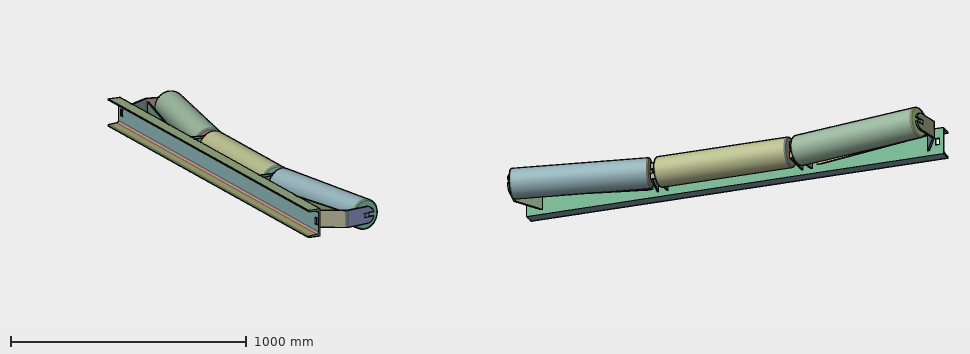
import cadquery as cq
import math


OVERALL_LENGTH = 1914.0
TROUGH_ANGLE = 10.0
CENTRE_AXIS_Y = 117.0

BEAM_LENGTH = 1898.0
BEAM_HEIGHT = 120.0
BEAM_DEPTH = 55.0
WEB_THICKNESS = 7.0
FLANGE_THICKNESS = 9.0
FLANGE_SLOPE = 0.08
ROOT_RADIUS = 9.0
TOE_RADIUS = 4.0
BEAM_SLOT_LENGTH = 17.0
BEAM_SLOT_HEIGHT = 29.0
BEAM_SLOT_X = 922.0

ROLLER_DIAMETER = 132.0
ROLLER_LENGTH = 600.0
ROLLER_EDGE_RADIUS = 5.0
SPINDLE_WIDTH = 18.0
SPINDLE_DEPTH = 23.0
SUPPORT_SPAN = 609.0

PLATE_WIDTH = 75.0
OUTER_PLATE = 8.0
INNER_PLATE = 6.0
STRUT_PLATE = 6.0
STRUT_WIDTH = 45.0

BEND_RADIUS = 15.0
BEND_Y = 126.0
LEG_ANGLE = 60.0
BEND_TO_AXIS = 100.0

BRIDGE_TOP_Y = 142.0

STRUT_TOP_Y = 135.0
STRUT_FOOT_X = -373.0

TROUGH = math.radians(TROUGH_ANGLE)
LEG = math.radians(LEG_ANGLE)
ALONG = cq.Vector(math.cos(TROUGH), -math.sin(TROUGH))
ACROSS = cq.Vector(math.sin(TROUGH), math.cos(TROUGH))
LEG_DOWN = cq.Vector(math.cos(LEG), -math.sin(LEG))
LEG_INWARD = cq.Vector(math.sin(LEG), math.cos(LEG))

BEND_CENTRE = cq.Vector(BEND_RADIUS - OVERALL_LENGTH / 2, BEND_Y)
ARM_FOOT = BEND_CENTRE - ALONG * BEND_RADIUS
ARM_AXIS = ARM_FOOT + ACROSS * BEND_TO_AXIS
SIDE_CENTRE = ARM_AXIS + ALONG * (OUTER_PLATE + SUPPORT_SPAN / 2)
INNER_MOUNT = SIDE_CENTRE + ALONG * (SUPPORT_SPAN / 2)


def point_at_height(start, direction, y):
    """Point where the line through start along direction reaches the height y."""
    return start + direction * ((y - start.y) / direction.y)


def plate_from_outline(points, width):
    """Prism on a closed XY outline, centred on Z = 0."""
    outline = [(p.x, p.y) for p in points]
    return cq.Workplane("XY").polyline(outline).close().extrude(width / 2, both=True)


def mirrored(body):
    """Copy of a body on the opposite end of the idler."""
    return body.mirror("YZ")


def make_beam():
    """Channel with tapered flanges and a slot through the web near each end."""
    half = BEAM_HEIGHT / 2
    mid_depth = BEAM_DEPTH / 2
    toe = half - FLANGE_THICKNESS + FLANGE_SLOPE * mid_depth
    root = half - FLANGE_THICKNESS - FLANGE_SLOPE * (mid_depth - WEB_THICKNESS)
    section = (
        cq.Workplane("YZ", origin=(-BEAM_LENGTH / 2, 0, 0))
        .polyline([
            (0, half), (-BEAM_DEPTH, half), (-BEAM_DEPTH, toe), (-WEB_THICKNESS, root),
            (-WEB_THICKNESS, -root), (-BEAM_DEPTH, -toe), (-BEAM_DEPTH, -half), (0, -half),
        ])
        .close()
    )
    beam = section.extrude(BEAM_LENGTH)
    for y, z, radius in ((-WEB_THICKNESS, root, ROOT_RADIUS), (-BEAM_DEPTH, toe, TOE_RADIUS)):
        for side in (-1, 1):
            beam = beam.edges(cq.NearestToPointSelector((0, y, side * z))).fillet(radius)
    slots = (
        cq.Workplane("XZ", origin=(0, 0, 0))
        .pushPoints([(-BEAM_SLOT_X, 0), (BEAM_SLOT_X, 0)])
        .rect(BEAM_SLOT_LENGTH, BEAM_SLOT_HEIGHT)
        .extrude(WEB_THICKNESS)
    )
    return beam.cut(slots)


def make_roller(centre, axis, spindle_start, spindle_end):
    """Roller centred on a point, its spindle running between two stations along the axis."""
    upright = cq.Vector(0, 0, 1)
    shell = (
        cq.Workplane(cq.Plane(origin=centre - axis * (ROLLER_LENGTH / 2), xDir=upright, normal=axis))
        .circle(ROLLER_DIAMETER / 2)
        .extrude(ROLLER_LENGTH)
        .edges("%CIRCLE")
        .fillet(ROLLER_EDGE_RADIUS)
    )
    spindle = (
        cq.Workplane(cq.Plane(origin=centre + axis * spindle_start, xDir=upright, normal=axis))
        .rect(SPINDLE_WIDTH, SPINDLE_DEPTH)
        .extrude(spindle_end - spindle_start)
    )
    return shell.union(spindle)


def make_centre_roller():
    reach = SUPPORT_SPAN / 2 + INNER_PLATE
    return make_roller(cq.Vector(0, CENTRE_AXIS_Y), cq.Vector(1, 0), -reach, reach)


def make_side_roller():
    half_span = SUPPORT_SPAN / 2
    return make_roller(SIDE_CENTRE, ALONG, -half_span - OUTER_PLATE, half_span + INNER_PLATE)


def make_spindle_slot(face_point, across, normal, thickness, height):
    """Slot through a plate, from the underside of the spindle up to height above its axis."""
    plane = cq.Plane(origin=face_point, xDir=across, normal=normal)
    length = height + SPINDLE_DEPTH / 2
    return (
        cq.Workplane(plane)
        .center((height - SPINDLE_DEPTH / 2) / 2, 0)
        .rect(length, SPINDLE_WIDTH)
        .extrude(thickness)
    )


def make_outer_bracket():
    """Arm with a round slotted end, bent onto a leg that slopes back to the beam."""
    half = PLATE_WIDTH / 2
    arm = (
        cq.Workplane(cq.Plane(origin=ARM_AXIS, xDir=ACROSS, normal=ALONG))
        .moveTo(-BEND_TO_AXIS, -half)
        .lineTo(0, -half)
        .threePointArc((half, 0), (0, half))
        .lineTo(-BEND_TO_AXIS, half)
        .close()
        .extrude(OUTER_PLATE)
    )
    inner_radius = BEND_RADIUS - OUTER_PLATE
    outer_tangent = BEND_CENTRE - LEG_INWARD * BEND_RADIUS
    inner_tangent = BEND_CENTRE - LEG_INWARD * inner_radius
    arm_inner = BEND_CENTRE - ALONG * inner_radius
    bisector = (ALONG + LEG_INWARD).normalized()
    outer_mid = BEND_CENTRE - bisector * BEND_RADIUS
    inner_mid = BEND_CENTRE - bisector * inner_radius
    outer_foot = point_at_height(outer_tangent, LEG_DOWN, 0)
    inner_foot = point_at_height(inner_tangent, LEG_DOWN, 0)
    leg = (
        cq.Workplane("XY")
        .moveTo(ARM_FOOT.x, ARM_FOOT.y)
        .threePointArc(outer_mid.toTuple()[:2], outer_tangent.toTuple()[:2])
        .lineTo(outer_foot.x, outer_foot.y)
        .lineTo(inner_foot.x, inner_foot.y)
        .lineTo(inner_tangent.x, inner_tangent.y)
        .threePointArc(inner_mid.toTuple()[:2], arm_inner.toTuple()[:2])
        .close()
        .extrude(half, both=True)
    )
    slot = make_spindle_slot(ARM_AXIS, ACROSS, ALONG, OUTER_PLATE, PLATE_WIDTH)
    return arm.union(leg).cut(slot)


def make_inner_bracket():
    """Folded plate whose two legs, joined by a bridge, hold a side and a centre spindle."""
    side_face = INNER_MOUNT
    side_back = INNER_MOUNT + ALONG * INNER_PLATE
    centre_face_x = -SUPPORT_SPAN / 2
    centre_back_x = centre_face_x - INNER_PLATE
    bridge_under = BRIDGE_TOP_Y - INNER_PLATE
    bracket = plate_from_outline([
        point_at_height(side_face, ACROSS, 0),
        point_at_height(side_face, ACROSS, BRIDGE_TOP_Y),
        cq.Vector(centre_face_x, BRIDGE_TOP_Y),
        cq.Vector(centre_face_x, 0),
        cq.Vector(centre_back_x, 0),
        cq.Vector(centre_back_x, bridge_under),
        point_at_height(side_back, ACROSS, bridge_under),
        point_at_height(side_back, ACROSS, 0),
    ], PLATE_WIDTH)
    side_slot = make_spindle_slot(side_face, ACROSS, ALONG, INNER_PLATE, PLATE_WIDTH)
    centre_slot = make_spindle_slot(
        cq.Vector(centre_back_x, CENTRE_AXIS_Y), cq.Vector(0, 1), cq.Vector(1, 0), INNER_PLATE, PLATE_WIDTH
    )
    bridge_slot = plate_from_outline([
        point_at_height(side_face, ACROSS, bridge_under),
        point_at_height(side_face, ACROSS, BRIDGE_TOP_Y),
        cq.Vector(centre_face_x, BRIDGE_TOP_Y),
        cq.Vector(centre_face_x, bridge_under),
    ], SPINDLE_WIDTH)
    return bracket.cut(side_slot).cut(centre_slot).cut(bridge_slot)


def make_strut():
    """Flat bar from the inside of the outer arm down to the beam."""
    arm_face = ARM_AXIS + ALONG * OUTER_PLATE
    top = point_at_height(arm_face, ACROSS, STRUT_TOP_Y)
    foot = cq.Vector(STRUT_FOOT_X, 0)
    slope = (foot - top).normalized()
    drop = STRUT_PLATE / slope.x
    under_top = top - ACROSS * (drop * math.cos(TROUGH))
    under_foot = point_at_height(top - cq.Vector(0, drop), slope, 0)
    return plate_from_outline([top, foot, under_foot, under_top], STRUT_WIDTH)


beam = make_beam()
centre_roller = make_centre_roller()
bodies = [beam.val(), centre_roller.val()]
for make_body in (make_side_roller, make_outer_bracket, make_inner_bracket, make_strut):
    body = make_body()
    bodies.append(body.val())
    bodies.append(mirrored(body).val())

result = cq.Compound.makeCompound(bodies)